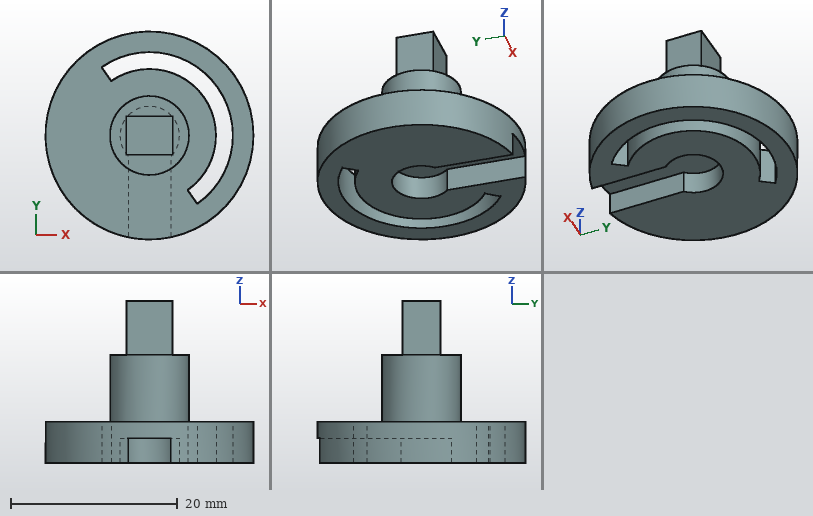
import cadquery as cq
import math

DISK_DIAMETER = 25.0
DISK_HEIGHT = 5.0

SHAFT_DIAMETER = 9.5
SHAFT_HEIGHT = 8.0
TIP_LENGTH_X = 5.55
TIP_WIDTH_Y = 4.6
TIP_HEIGHT = 6.5

SLOT_INNER_RADIUS = 8.0
SLOT_OUTER_RADIUS = 10.0
SLOT_START_ANGLE = -55.0
SLOT_SWEEP = 180.0

POCKET_DIAMETER = 7.1
POCKET_DEPTH = 3.0
CHANNEL_WIDTH = 5.1


def polar_point(radius, angle):
    """Point at a radius and an angle in degrees from +X."""
    return (
        radius * math.cos(math.radians(angle)),
        radius * math.sin(math.radians(angle)),
    )


def make_body():
    """Disk, shaft and drive tip stacked along Z."""
    disk = cq.Workplane("XY").circle(DISK_DIAMETER / 2).extrude(DISK_HEIGHT)
    with_shaft = disk.faces(">Z").workplane().circle(SHAFT_DIAMETER / 2).extrude(SHAFT_HEIGHT)
    return with_shaft.faces(">Z").workplane().rect(TIP_LENGTH_X, TIP_WIDTH_Y).extrude(TIP_HEIGHT)


def make_arc_slot():
    """Ring segment with radial ends, as tall as the disk."""
    middle_angle = SLOT_START_ANGLE + SLOT_SWEEP / 2
    end_angle = SLOT_START_ANGLE + SLOT_SWEEP
    return (
        cq.Workplane("XY")
        .moveTo(*polar_point(SLOT_INNER_RADIUS, SLOT_START_ANGLE))
        .lineTo(*polar_point(SLOT_OUTER_RADIUS, SLOT_START_ANGLE))
        .threePointArc(
            polar_point(SLOT_OUTER_RADIUS, middle_angle),
            polar_point(SLOT_OUTER_RADIUS, end_angle),
        )
        .lineTo(*polar_point(SLOT_INNER_RADIUS, end_angle))
        .threePointArc(
            polar_point(SLOT_INNER_RADIUS, middle_angle),
            polar_point(SLOT_INNER_RADIUS, SLOT_START_ANGLE),
        )
        .close()
        .extrude(DISK_HEIGHT)
    )


def make_underside_pocket():
    """Round pocket joined to a straight channel from the disk axis out past the -Y rim."""
    pocket = cq.Workplane("XY").circle(POCKET_DIAMETER / 2).extrude(POCKET_DEPTH)
    channel_length = DISK_DIAMETER
    channel = (
        cq.Workplane("XY")
        .center(0, -channel_length / 2)
        .rect(CHANNEL_WIDTH, channel_length)
        .extrude(POCKET_DEPTH)
    )
    return pocket.union(channel)


result = make_body().cut(make_arc_slot()).cut(make_underside_pocket())